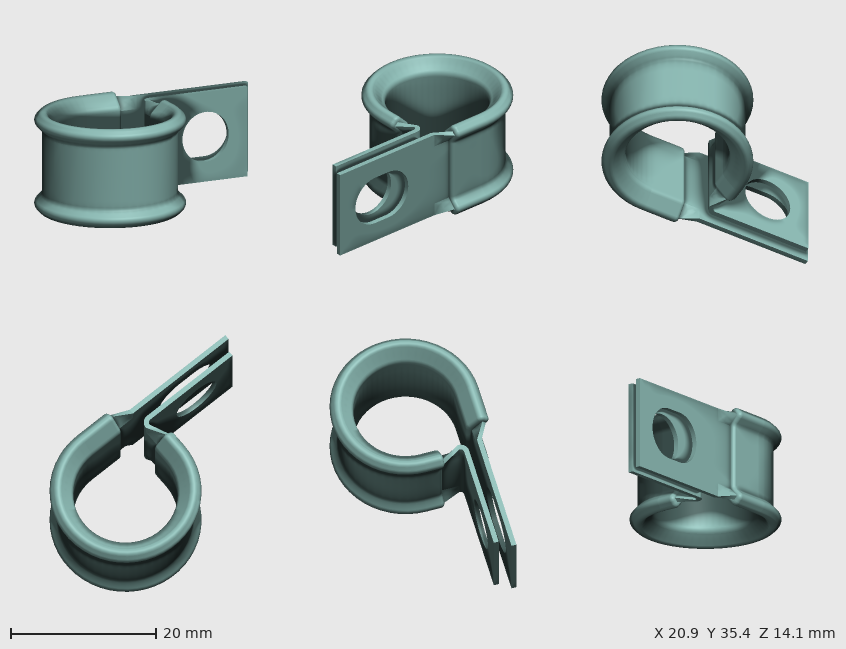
import cadquery as cq
import math


SIN45 = math.sqrt(0.5)

RIM_RADIUS = 10.45
BAND_RADIUS = 9.35
BORE_RADIUS = 7.2
CUSHION_HEIGHT = 14.05
RIM_THICKNESS = 2.02
RIM_ROUND = 0.75
GROOVE_ROUND = 0.75
BORE_ROUND = 1.05
END_ROUND = 0.53
LONG_END = 5.35

STRAP_THICKNESS = 0.7
STRAP_INNER = 7.95
STRAP_OUTER = STRAP_INNER + STRAP_THICKNESS
STRAP_HEIGHT = 12.75
CREASE_HEIGHT = 4.55
CREASE_LENGTH = 2.55
STRAP_EMBED = 1.05

LONG_TAB_END = 24.97
SHORT_TAB_END = 23.85
TAB_GAP = 1.5
BEND_INNER = 0.53
BEND_OUTER = BEND_INNER + STRAP_THICKNESS
SHORT_TAB_X = -STRAP_INNER + TAB_GAP
SHORT_END = -SHORT_TAB_X - BEND_OUTER - CREASE_LENGTH
HOLE_Y = 17.43
HOLE_DIAMETER = 7.1
SLOT_WIDTH = 7.2
SLOT_LENGTH = 9.55


def rounded_outline(corners):
    """Closed XZ outline through (x, z, radius) corners; each non-zero radius becomes an arc."""
    outline = None
    for i, (x, z, radius) in enumerate(corners):
        corner = cq.Vector(x, z)
        to_last = (cq.Vector(*corners[i - 1][:2]) - corner).normalized()
        to_next = (cq.Vector(*corners[(i + 1) % len(corners)][:2]) - corner).normalized()
        half_angle = to_last.getAngle(to_next) / 2
        setback = radius / math.tan(half_angle)
        start = corner + to_last * setback
        end = corner + to_next * setback
        bisector = (to_last + to_next).normalized()
        middle = corner + bisector * (radius / math.sin(half_angle) - radius)
        if outline is None:
            outline = cq.Workplane("XZ").moveTo(start.x, start.y)
        else:
            outline = outline.lineTo(start.x, start.y)
        if radius:
            outline = outline.threePointArc((middle.x, middle.y), (end.x, end.y))
    return outline.close()


def cushion_profile():
    """Cushion cross-section in the XZ plane at positive X, flaring outward at both edges."""
    flare_run = RIM_RADIUS - BAND_RADIUS + (math.sqrt(2) - 1) * RIM_ROUND
    rim_offset = RIM_THICKNESS * SIN45
    groove_z = CUSHION_HEIGHT / 2 - rim_offset - (RIM_RADIUS - BAND_RADIUS)
    bore_z = groove_z + 2 * rim_offset - (BAND_RADIUS - BORE_RADIUS)
    tip_x = BAND_RADIUS + flare_run
    tip_z = groove_z + flare_run
    upper = [
        (BAND_RADIUS, groove_z, GROOVE_ROUND),
        (tip_x, tip_z, RIM_ROUND),
        (tip_x - rim_offset, tip_z + rim_offset, RIM_ROUND),
        (BORE_RADIUS, bore_z, BORE_ROUND),
    ]
    lower = [(x, -z, radius) for x, z, radius in reversed(upper)]
    return rounded_outline(upper + lower)


def to_short_side(end):
    """Turn a strap or cushion end built at -X and running toward +Y to one at +Y running toward -X."""
    return end.mirror("YZ").rotate((0, 0, 0), (0, 0, 1), 90)


def cushion_end(length):
    """Straight cushion end at -X, running toward +Y, with a rounded end face."""
    end = cushion_profile().extrude(length).faces("<Y").edges().fillet(END_ROUND)
    return end.rotate((0, 0, 0), (0, 0, 1), 180)


def cushion():
    """Three-quarter ring, open toward -X +Y, with a straight run at each end."""
    ring = cushion_profile().revolve(270, (0, 0), (0, 1)).rotate((0, 0, 0), (0, 0, 1), 180)
    return ring.union(cushion_end(LONG_END)).union(to_short_side(cushion_end(SHORT_END)))


def flared_edge(cushion_face, side):
    """Upper (side=1) or lower (side=-1) strap edge, flared in the cushion and flattening toward +Y."""
    flare_run = (STRAP_HEIGHT / 2 - CREASE_HEIGHT) * SIN45
    lip = STRAP_THICKNESS * SIN45
    tip_x = -STRAP_OUTER - flare_run
    tip_z = CREASE_HEIGHT + flare_run
    crease = [(-STRAP_INNER, CREASE_HEIGHT), (-STRAP_OUTER, CREASE_HEIGHT)]
    flared = crease + [(tip_x, tip_z), (tip_x + lip, tip_z + lip)]
    flat = crease + [(-STRAP_OUTER, STRAP_HEIGHT / 2), (-STRAP_INNER, STRAP_HEIGHT / 2)]

    def section(points, y):
        return cq.Wire.makePolygon([cq.Vector(x, y, side * z) for x, z in points], close=True)

    start = section(flared, cushion_face)
    end = section(flat, cushion_face + CREASE_LENGTH)
    blend = cq.Solid.makeLoft([start, end], True)
    root = cq.Solid.extrudeLinear(start, [], cq.Vector(0, -STRAP_EMBED, 0))
    return cq.Workplane(blend).union(cq.Workplane(root))


def strap_neck(cushion_face):
    """Strap leaving the cushion at -X toward +Y: a flat middle between two flared edges."""
    length = STRAP_EMBED + CREASE_LENGTH
    middle = (
        cq.Workplane("XY")
        .box(STRAP_THICKNESS, length, 2 * CREASE_HEIGHT, centered=(False, False, True))
        .translate((-STRAP_OUTER, cushion_face - STRAP_EMBED, 0))
    )
    return middle.union(flared_edge(cushion_face, 1)).union(flared_edge(cushion_face, -1))


def long_tab():
    """Straight tab with a slot."""
    start = LONG_END + CREASE_LENGTH
    plate = (
        cq.Workplane("XY")
        .box(STRAP_THICKNESS, LONG_TAB_END - start, STRAP_HEIGHT, centered=(False, False, True))
        .translate((-STRAP_OUTER, start, 0))
    )
    slot = (
        cq.Workplane("YZ", origin=(-STRAP_OUTER, HOLE_Y, 0))
        .slot2D(SLOT_LENGTH, SLOT_WIDTH)
        .extrude(STRAP_THICKNESS)
    )
    return plate.cut(slot).union(strap_neck(LONG_END))


def short_tab():
    """Tab that leaves toward -X, then bends to run along the long tab, with a round hole."""
    inner_face = SHORT_TAB_X + STRAP_THICKNESS
    bend_x = SHORT_TAB_X + BEND_OUTER
    bend_y = STRAP_INNER + BEND_OUTER
    plate = (
        cq.Workplane("XY", origin=(0, 0, -STRAP_HEIGHT / 2))
        .moveTo(SHORT_TAB_X, SHORT_TAB_END)
        .lineTo(SHORT_TAB_X, bend_y)
        .radiusArc((bend_x, STRAP_INNER), -BEND_OUTER)
        .lineTo(bend_x, STRAP_OUTER)
        .radiusArc((inner_face, bend_y), BEND_INNER)
        .lineTo(inner_face, SHORT_TAB_END)
        .close()
        .extrude(STRAP_HEIGHT)
    )
    hole = (
        cq.Workplane("YZ", origin=(SHORT_TAB_X, HOLE_Y, 0))
        .circle(HOLE_DIAMETER / 2)
        .extrude(STRAP_THICKNESS)
    )
    return plate.cut(hole).union(to_short_side(strap_neck(SHORT_END)))


result = cushion().union(long_tab()).union(short_tab())